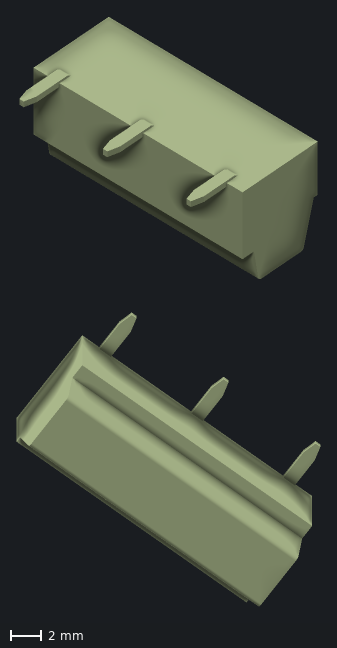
import cadquery as cq

body_length = 19.05
body_depth = 7.3
body_height = 8.52

rear_step_drop = 4.6
rear_step_inset = 0.38
rear_foot_inset = 1.41
front_step_drop = 5.75
front_step_inset = 1.1
front_foot_inset = 1.56
foot_radius = 0.3

pin_count = 3
pin_pitch = 7.62
pin_width = 0.93
pin_thickness = 0.5
pin_rise = 0.2
pin_overhang = 3.2
pin_taper_length = 1.0
pin_tip_width = 0.4
pin_root_depth = 1.1
pin_ramp_length = 0.36


def make_body():
    """Body profile in the YZ plane, extruded along X, with rounded foot edges."""
    rear_step_z = body_height - rear_step_drop
    front_step_z = body_height - front_step_drop
    profile = [
        (0, body_height),
        (0, front_step_z),
        (front_step_inset, front_step_z),
        (front_foot_inset, 0),
        (body_depth - rear_foot_inset, 0),
        (body_depth - rear_step_inset, rear_step_z),
        (body_depth, rear_step_z),
        (body_depth, body_height),
    ]
    body = cq.Workplane("YZ").polyline(profile).close().extrude(body_length / 2, both=True)
    return body.faces("<Z").edges("|X").fillet(foot_radius)


def make_pin():
    """Pin centred on X = 0: tapered outline in plan, ramped at its inner end."""
    pin_top = body_height + pin_rise
    pin_bottom = pin_top - pin_thickness
    taper_start = pin_taper_length - pin_overhang
    half_width = pin_width / 2
    half_tip = pin_tip_width / 2
    outline = [
        (-half_width, pin_root_depth),
        (-half_width, taper_start),
        (-half_tip, -pin_overhang),
        (half_tip, -pin_overhang),
        (half_width, taper_start),
        (half_width, pin_root_depth),
    ]
    blade = (
        cq.Workplane("XY")
        .workplane(offset=pin_bottom)
        .polyline(outline)
        .close()
        .extrude(pin_thickness)
    )
    ramp_cut = (
        cq.Workplane("YZ")
        .polyline([
            (pin_root_depth, body_height),
            (pin_root_depth, pin_top),
            (pin_root_depth - pin_ramp_length, pin_top),
        ])
        .close()
        .extrude(pin_width, both=True)
    )
    return blade.cut(ramp_cut)


result = make_body()
pin = make_pin()
for index in range(pin_count):
    pin_x = (index - (pin_count - 1) / 2) * pin_pitch
    result = result.union(pin.translate((pin_x, 0, 0)))